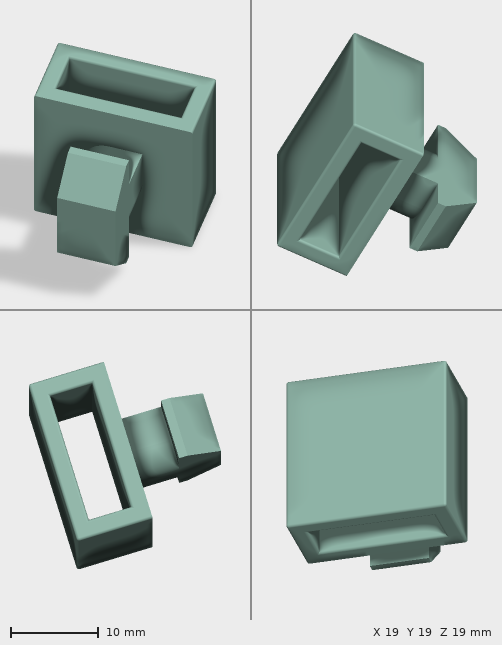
import cadquery as cq

size = 19.0
sleeve_depth = 9.0
front_y = size / 2 - sleeve_depth
edge_radius = 0.3

sleeve_wall = 2.0
slot_width = size - 2 * sleeve_wall
slot_depth = sleeve_depth - 2 * sleeve_wall

lock_width = 7.0
stem_length = 5.0
stem_height = 8.0
stem_radius = 3.0
head_height = 16.0
head_lip = 1.0
head_tip_height = 9.0


def make_sleeve():
    body = cq.Workplane("XY").box(size, sleeve_depth, size)
    body = body.edges("|Y or >Y").fillet(edge_radius)
    passage = cq.Workplane("XY").box(slot_width, slot_depth, size)
    body = body.cut(passage)
    margin = sleeve_wall / 2
    rim_zone = cq.selectors.BoxSelector(
        (-size / 2 + margin, -sleeve_depth / 2 + margin, -size),
        (size / 2 - margin, sleeve_depth / 2 - margin, size),
    )
    body = body.faces("|Z").edges(rim_zone).fillet(edge_radius)
    return body.translate((0, front_y + sleeve_depth / 2, 0))


def make_stem():
    stem = (
        cq.Workplane("XZ", origin=(0, front_y, 0))
        .rect(lock_width, stem_height)
        .extrude(stem_length)
    )
    for side in (1, -1):
        corner = (-side * lock_width / 2, front_y - stem_length / 2, side * stem_height / 2)
        stem = stem.edges(cq.selectors.NearestToPointSelector(corner)).fillet(stem_radius)
    return stem


def make_head():
    back_y = front_y - stem_length
    lip_y = back_y - head_lip
    tip_y = -size / 2
    profile = [
        (back_y, -head_height / 2),
        (lip_y, -head_height / 2),
        (tip_y, -head_tip_height / 2),
        (tip_y, head_tip_height / 2),
        (lip_y, head_height / 2),
        (back_y, head_height / 2),
    ]
    return cq.Workplane("YZ").polyline(profile).close().extrude(lock_width / 2, both=True)


result = make_sleeve().union(make_stem()).union(make_head())